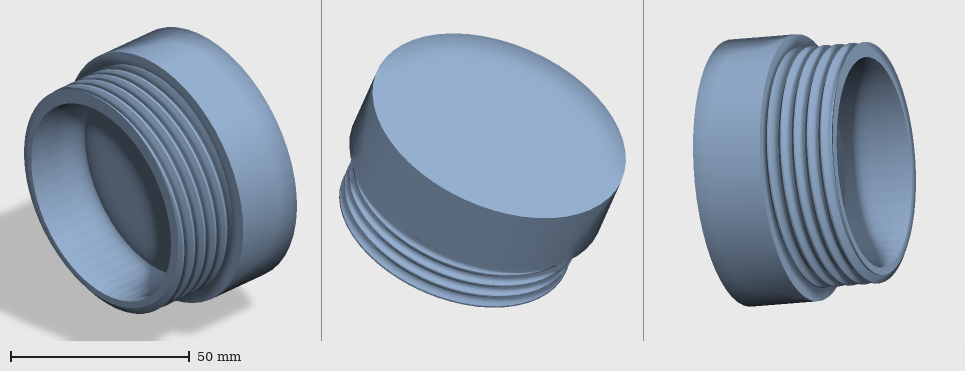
import cadquery as cq
import math

cap_diameter = 75.0
cap_length = 20.0

neck_length = 20.0
neck_wall = 2.0
bore_diameter = 59.2
bore_depth = neck_length

thread_pitch = 4.0
thread_major_diameter = 67.7
thread_root_diameter = bore_diameter + 2 * neck_wall
thread_flank_angle = 60.0
crest_width = thread_pitch / 8
crest_chamfer_width = 0.14
crest_chamfer_height = 0.15
root_overlap = 0.2
runout_turns = 1.5
cap_embed = thread_pitch


def cylinder_along_y(diameter, start_y, length):
    """Solid cylinder on the Y axis, from start_y toward +Y."""
    origin = cq.Vector(0, start_y, 0)
    return cq.Workplane(cq.Solid.makeCylinder(diameter / 2, length, origin, cq.Vector(0, 1, 0)))


def thread_ridge():
    """Helical ridge whose crest meets the open end of the neck at the +Z side."""
    crest_radius = thread_major_diameter / 2
    shoulder_radius = crest_radius - crest_chamfer_height
    base_radius = thread_root_diameter / 2 - root_overlap

    crest_half = crest_width / 2
    shoulder_half = crest_half + crest_chamfer_width
    flank_slope = math.tan(math.radians(thread_flank_angle / 2))
    base_half = shoulder_half + (shoulder_radius - base_radius) * flank_slope

    runout_length = runout_turns * thread_pitch
    ridge_length = runout_length + neck_length + cap_embed
    path = cq.Wire.makeHelix(thread_pitch, ridge_length, base_radius)
    profile = cq.Workplane("XZ").polyline([
        (base_radius, -base_half),
        (shoulder_radius, -shoulder_half),
        (crest_radius, -crest_half),
        (crest_radius, crest_half),
        (shoulder_radius, shoulder_half),
        (base_radius, base_half),
    ]).close()
    ridge = profile.sweep(cq.Workplane(path), isFrenet=True)

    ridge = ridge.rotate((0, 0, 0), (0, 0, 1), -360 * runout_turns - 90)
    ridge = ridge.rotate((0, 0, 0), (1, 0, 0), -90)
    return ridge.translate((0, -neck_length - runout_length, 0))


def threaded_neck():
    """Root cylinder with the thread ridge, trimmed flush at the open end."""
    core_length = neck_length + cap_embed
    core = cylinder_along_y(thread_root_diameter, -neck_length, core_length)
    trim_envelope = cylinder_along_y(cap_diameter, -neck_length, core_length)
    return core.union(thread_ridge().intersect(trim_envelope))


cap = cylinder_along_y(cap_diameter, 0, cap_length)
bore = cylinder_along_y(bore_diameter, -neck_length, bore_depth)
result = cap.union(threaded_neck()).cut(bore)